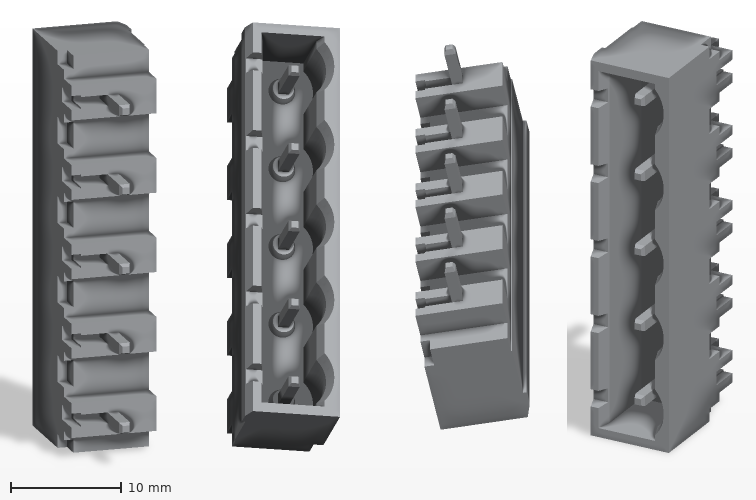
import cadquery as cq


pin_count = 5
pitch = 7.5
length = pin_count * pitch
body_depth = 9.7
back_height = 8.05
middle_height = 8.18
lip_height = 8.5
lip_front_height = 8.05
lip_end = 2.95
middle_end = 8.1
lead_in = 1.42

cavity_floor = 7.5
end_wall = 0.9
mouth_low = 1.42
mouth_high = 7.28
cavity_low = 1.9
cavity_high = 6.9
scallop_mouth_radius = 3.38
scallop_radius = 2.9

notch_depth = 1.25
notch_width_front = 1.72
notch_width_back = 1.4

foot_width = 3.25
foot_length = 2.4
feet_end = body_depth + foot_length
slot_width = 1.35
slot_depth = 0.9
slot_start = 9.1

recess_width = 2.5
recess_depth = 0.9
recess_start = 7.75

pin_width = 1.0
pin_height = 3.9
pin_start = 1.28
pin_end = 16.2
pin_bevel = 0.2
pin_taper = 0.5
collar_base_radius = 1.25
collar_top_radius = 0.98
collar_length = 0.75

pin_positions = [(i - (pin_count - 1) / 2) * pitch for i in range(pin_count)]
gap_positions = [(i - pin_count / 2) * pitch for i in range(pin_count + 1)]


def block(x0, x1, y0, y1, z_center, z_width):
    """Box between two X and two Y limits, centred on z_center."""
    box = cq.Workplane("XY").box(x1 - x0, y1 - y0, z_width, centered=(False, False, True))
    return box.translate((x0, y0, z_center))


def profile(points, z_length):
    """XY outline extruded equally both ways along Z."""
    return cq.Workplane("XY").polyline(points).close().extrude(z_length / 2, both=True)


def cone(x0, x1, radius0, radius1, z):
    """Truncated cone on a pin axis, running along X."""
    solid = cq.Solid.makeCone(
        radius0, radius1, x1 - x0, pnt=cq.Vector(x0, pin_height, z), dir=cq.Vector(1, 0, 0)
    )
    return cq.Workplane("XY").add(solid)


def square(x, width, z):
    """Square section centred on a pin axis, facing +X."""
    return cq.Workplane("YZ", origin=(x, pin_height, z)).rect(width, width)


def make_housing():
    return profile(
        [
            (0, 0),
            (body_depth, 0),
            (body_depth, back_height),
            (middle_end, back_height),
            (middle_end, middle_height),
            (lip_end, middle_height),
            (lip_end, lip_height),
            (lead_in, lip_height),
            (0, lip_front_height),
        ],
        length,
    )


def make_cavity():
    inner_length = length - 2 * end_wall
    cavity = profile(
        [
            (0, mouth_low),
            (lead_in, cavity_low),
            (cavity_floor, cavity_low),
            (cavity_floor, cavity_high),
            (lead_in, cavity_high),
            (0, mouth_high),
        ],
        inner_length,
    )
    scallop_zone = block(0, cavity_floor, 0, pin_height, 0, inner_length)
    for z in pin_positions:
        scallop = cone(0, lead_in, scallop_mouth_radius, scallop_radius, z)
        straight = cq.Workplane("YZ", origin=(lead_in, pin_height, z)).circle(scallop_radius)
        scallop = scallop.union(straight.extrude(cavity_floor - lead_in))
        cavity = cavity.union(scallop.intersect(scallop_zone))
    return cavity


def make_notch(z):
    """Notch through the lip wall, narrowing away from the open end."""
    outline = [
        (0, -notch_width_front / 2),
        (notch_depth, -notch_width_back / 2),
        (notch_depth, notch_width_back / 2),
        (0, notch_width_front / 2),
    ]
    notch = cq.Workplane("XZ", origin=(0, lip_height, z)).polyline(outline).close()
    return notch.extrude(lip_height - cavity_high)


def make_pin(z):
    tip_width = pin_width - 2 * pin_bevel
    shank = square(pin_start + pin_taper, pin_width, z).extrude(pin_end - pin_start - 2 * pin_taper)
    front_tip = (
        square(pin_start, tip_width, z).workplane(offset=pin_taper).rect(pin_width, pin_width).loft()
    )
    back_tip = (
        square(pin_end - pin_taper, pin_width, z)
        .workplane(offset=pin_taper)
        .rect(tip_width, tip_width)
        .loft()
    )
    return shank.union(front_tip).union(back_tip)


result = make_housing().cut(make_cavity())

for z in gap_positions:
    result = result.cut(block(recess_start, body_depth, 0, recess_depth, z, recess_width))

for z in pin_positions:
    result = result.cut(make_notch(z))
    result = result.union(block(body_depth, feet_end, 0, back_height, z, foot_width))
    result = result.cut(block(slot_start, feet_end, 0, slot_depth, z, slot_width))
    result = result.cut(block(body_depth, feet_end, slot_depth, pin_height, z, pin_width))
    collar_start = cavity_floor - collar_length
    result = result.union(cone(collar_start, cavity_floor, collar_top_radius, collar_base_radius, z))
    result = result.union(make_pin(z))